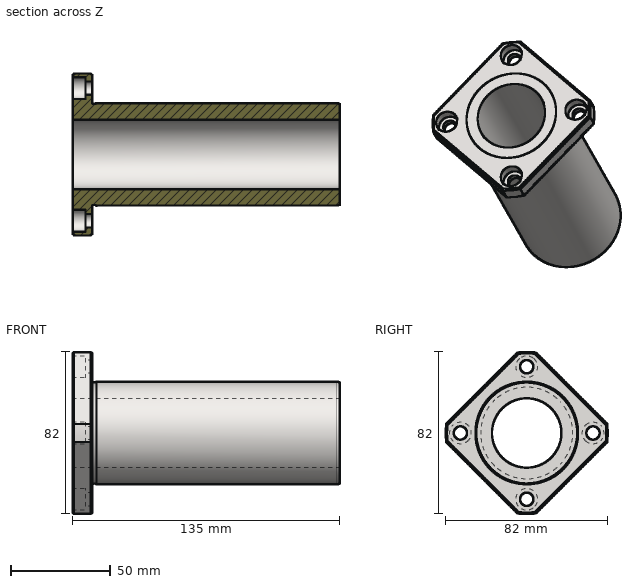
import cadquery as cq

total_length = 135.0

flange_diameter = 82.0
flange_square = 64.0
flange_thickness = 10.0
flange_chamfer = 0.8

sleeve_diameter = 52.0
bore_diameter = 35.0
groove_width = 2.0
groove_depth = 0.4
end_round_length = 1.6
end_round_radius = 2.7

recess_diameter = 46.5
recess_depth = 0.2

bolt_circle_diameter = 67.0
hole_count = 4
hole_diameter = 6.6
counterbore_diameter = 11.0
counterbore_depth = 6.5


def disc(diameter, thickness):
    """Disc around the X axis, starting at the outer flange face."""
    return cq.Workplane("YZ").circle(diameter / 2).extrude(thickness)


def hole_pattern(diameter, depth):
    """Cylinders near the flange corners, starting at the outer flange face."""
    centers = cq.Workplane("YZ").polarArray(bolt_circle_diameter / 2, 0, 360, hole_count)
    return centers.circle(diameter / 2).extrude(depth)


def make_flange():
    """Square flange standing on a corner, with rounded corners and chamfered edges."""
    square = (
        cq.Workplane("YZ")
        .transformed(rotate=(0, 0, 45))
        .rect(flange_square, flange_square)
        .extrude(flange_thickness)
    )
    plate = square.intersect(disc(flange_diameter, flange_thickness))
    return plate.faces("<X or >X").chamfer(flange_chamfer)


def make_sleeve():
    """Round sleeve along X, revolved from its half profile."""
    radius = sleeve_diameter / 2
    groove_end = flange_thickness + groove_width
    groove_bottom = (flange_thickness + groove_width / 2, radius - groove_depth)

    def rounding_point(distance):
        drop = end_round_radius - (end_round_radius**2 - distance**2) ** 0.5
        return (total_length - end_round_length + distance, radius - drop)

    return (
        cq.Workplane("XY")
        .lineTo(0, radius)
        .lineTo(flange_thickness, radius)
        .threePointArc(groove_bottom, (groove_end, radius))
        .lineTo(*rounding_point(0))
        .threePointArc(rounding_point(end_round_length / 2), rounding_point(end_round_length))
        .lineTo(total_length, 0)
        .close()
        .revolve(360, (0, 0, 0), (1, 0, 0))
    )


bearing = make_flange().union(make_sleeve())
bearing = bearing.cut(disc(bore_diameter, total_length))
bearing = bearing.cut(disc(recess_diameter, recess_depth))
bearing = bearing.cut(hole_pattern(hole_diameter, flange_thickness))
result = bearing.cut(hole_pattern(counterbore_diameter, counterbore_depth))